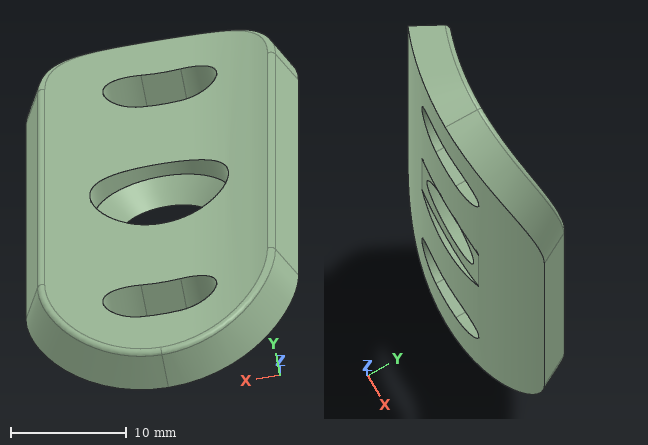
import cadquery as cq
import math

LENGTH = 64.0
WIDTH = 24.0
OUTER_RADIUS = 25.0
INNER_RADIUS = 21.3
END_RADIUS = WIDTH / 2
SIDE_HALF_LENGTH = LENGTH / 2 - END_RADIUS
BACK_FILLET = 0.5

SLOT_WIDTH = 10.0
SLOT_HEIGHT = 6.5
SLOT_SPACING = 43.0
HOLE_DIAMETER = 8.2
BACK_BORE_DIAMETER = 12.2
SPOTFACE_DIAMETER = 14.2
SPOTFACE_CHORD = 10.0

SPOTFACE_FLOOR = math.sqrt(OUTER_RADIUS**2 - (SPOTFACE_CHORD / 2) ** 2)

EDGE_DISTANCE = math.sqrt(OUTER_RADIUS**2 - (WIDTH / 2) ** 2)

CLEARANCE = 1.0

WEDGE_FRONT = OUTER_RADIUS + CLEARANCE
WEDGE_BACK = INNER_RADIUS / 2

END_CURVE_STEPS = 12


def front_plane(distance):
    """Sketch plane at the given distance in front of the bend axis, normal toward -Y."""
    return cq.Workplane("XZ", origin=(0, -distance, 0))


def wedge_outline(plane, distance):
    """Straight-sided outline with rounded ends, its width in proportion to the distance.

    The ends are true semicircles at EDGE_DISTANCE and half ellipses elsewhere.
    """
    half_width = WIDTH / 2 * distance / EDGE_DISTANCE
    turns = [math.pi / 2 * step / END_CURVE_STEPS for step in range(END_CURVE_STEPS + 1)]
    rise = [
        (half_width * math.cos(turn), SIDE_HALF_LENGTH + END_RADIUS * math.sin(turn))
        for turn in turns
    ]
    side_x, side_z = rise[0]
    top_right = rise[1:]
    top_left = [(-x, z) for x, z in reversed(rise[:-1])]
    bottom_left = [(-x, -z) for x, z in top_right]
    bottom_right = [(-x, -z) for x, z in top_left]
    return (
        plane.moveTo(side_x, -side_z)
        .lineTo(side_x, side_z)
        .spline(top_right, includeCurrent=True)
        .spline(top_left, includeCurrent=True)
        .lineTo(-side_x, -side_z)
        .spline(bottom_left, includeCurrent=True)
        .spline(bottom_right, includeCurrent=True)
        .close()
    )


def curved_plate():
    """Sector of a tube whose walls all converge on the bend axis."""
    tube = cq.Workplane("XY").circle(OUTER_RADIUS).circle(INNER_RADIUS).extrude(LENGTH, both=True)
    front = wedge_outline(front_plane(WEDGE_FRONT), WEDGE_FRONT)
    behind = front.workplane(offset=WEDGE_BACK - WEDGE_FRONT)
    wedge = wedge_outline(behind, WEDGE_BACK).loft(ruled=True)
    return tube.intersect(wedge)


def slots():
    """Two crosswise slots, one toward each end."""
    centers = [(0, SLOT_SPACING / 2), (0, -SLOT_SPACING / 2)]
    return front_plane(0).pushPoints(centers).slot2D(SLOT_WIDTH, SLOT_HEIGHT).extrude(WEDGE_FRONT)


def center_hole():
    """Hole that flares at 45 degrees behind the spotface into a wider bore."""
    hole_radius = HOLE_DIAMETER / 2
    bore_radius = BACK_BORE_DIAMETER / 2
    flare_end = SPOTFACE_FLOOR - (bore_radius - hole_radius)
    profile = (
        cq.Workplane("XY")
        .moveTo(0, -WEDGE_FRONT)
        .lineTo(hole_radius, -WEDGE_FRONT)
        .lineTo(hole_radius, -SPOTFACE_FLOOR)
        .lineTo(bore_radius, -flare_end)
        .lineTo(bore_radius, 0)
        .lineTo(0, 0)
        .close()
    )
    return profile.revolve(360, (0, 0, 0), (0, 1, 0))


def spotface():
    """Flat seat around the hole, clearing everything in front of its floor."""
    seat = front_plane(SPOTFACE_FLOOR).circle(SPOTFACE_DIAMETER / 2)
    return seat.extrude(WEDGE_FRONT - SPOTFACE_FLOOR)


def round_back_rim(plate):
    """Round the rim of the concave face, the smaller of the two curved faces."""
    concave_face = min(plate.faces("%CYLINDER").vals(), key=lambda face: face.Area())
    return plate.newObject(concave_face.Edges()).fillet(BACK_FILLET)


plate = round_back_rim(curved_plate())
result = plate.cut(slots()).cut(center_hole()).cut(spotface())